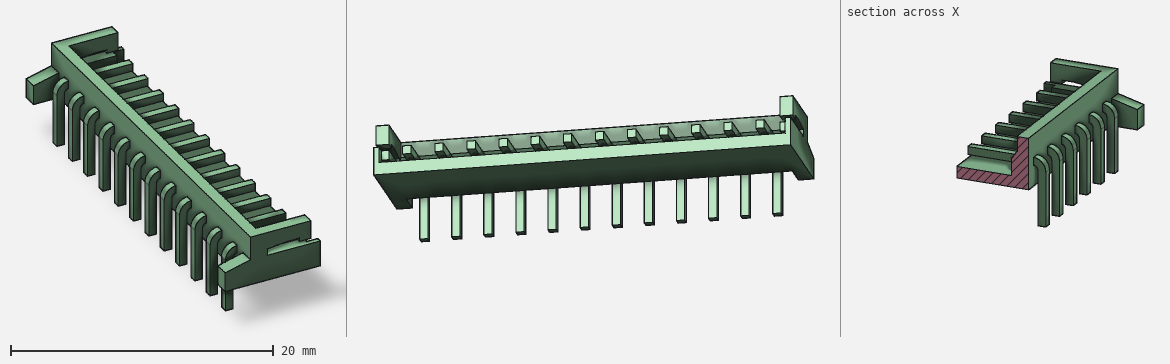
import cadquery as cq

length = 32.5
depth = 8.2
overall_height = 7.4
housing_height = 4.22
left_x = -length / 2
back_y = depth / 2
lug_tip_y = -depth / 2

wall_front_y = -1.92
wall_thickness = 0.98
wall_inner_y = wall_front_y + wall_thickness
arm_thickness = 1.0
arm_back_y = 3.28

floor_height = 0.98
cheek_height = 2.2
cheek_thickness = 0.42

slot_end_y = -0.45
slot_end_z = 2.75
slot_roof_flat_y = 1.27
slot_roof_z = 2.95
hook_front_y = 2.3
hook_bottom_z = 2.65

ledge_back_y = 3.2
ledge_bottom_z = 1.45

lug_width = 1.2
lug_tip_height = 1.65

pin_count = 12
pin_pitch = 2.5
pin_size = 0.65
pin_top_z = 2.35
pin_tip_z = housing_height - overall_height
pin_back_y = 3.6
pin_front_y = -2.92
bend_inner_radius = 0.4
bend_outer_radius = bend_inner_radius + pin_size

wall_foot_y = slot_end_y
slope_top_z = 3.02


def box(x_range, y_range, z_range):
    """Box spanning the given (low, high) ranges."""
    low, high = zip(x_range, y_range, z_range)
    size = [end - start for start, end in zip(low, high)]
    return cq.Workplane("XY").box(*size, centered=False).translate(low)


def side_profile(points, x_start, width):
    """Extrude a closed (y, z) outline along +X from x_start."""
    return cq.Workplane("YZ", origin=(x_start, 0, 0)).polyline(points).close().extrude(width)


def make_body():
    """Floor and upright wall with its sloped foot."""
    points = [
        (wall_front_y, 0),
        (back_y, 0),
        (back_y, floor_height),
        (wall_foot_y, floor_height),
        (wall_foot_y, pin_top_z),
        (wall_inner_y, slope_top_z),
        (wall_inner_y, housing_height),
        (wall_front_y, housing_height),
    ]
    return side_profile(points, left_x, length)


def make_cheek():
    """Thin end cheek with the wider ledge below the slot."""
    cheek = box((left_x, left_x + cheek_thickness), (wall_front_y, back_y), (0, cheek_height))
    ledge = box(
        (left_x, left_x + arm_thickness),
        (wall_front_y, ledge_back_y),
        (ledge_bottom_z, cheek_height),
    )
    return cheek.union(ledge)


def make_arm():
    """Hooked arm standing clear of the cheek by the slot."""
    points = [
        (wall_front_y, cheek_height),
        (slot_end_y, cheek_height),
        (slot_end_y, slot_end_z),
        (slot_roof_flat_y, slot_roof_z),
        (hook_front_y, slot_roof_z),
        (hook_front_y, hook_bottom_z),
        (arm_back_y, hook_bottom_z),
        (arm_back_y, housing_height),
        (wall_front_y, housing_height),
    ]
    return side_profile(points, left_x, arm_thickness)


def make_lug():
    """Front corner lug whose top slopes down to its tip."""
    points = [
        (wall_front_y, 0),
        (wall_front_y, cheek_height),
        (lug_tip_y, lug_tip_height),
        (lug_tip_y, 0),
    ]
    return side_profile(points, left_x, lug_width)


def make_pin(center_x):
    """Square pin running forward through the wall and bending down to its tip."""
    bend_y = pin_front_y + bend_outer_radius
    bend_z = pin_top_z - bend_outer_radius
    pin_rear_face_y = pin_front_y + pin_size
    pin_underside_z = pin_top_z - pin_size
    return (
        cq.Workplane("YZ", origin=(center_x - pin_size / 2, 0, 0))
        .moveTo(pin_back_y, pin_top_z)
        .lineTo(bend_y, pin_top_z)
        .radiusArc((pin_front_y, bend_z), -bend_outer_radius)
        .lineTo(pin_front_y, pin_tip_z)
        .lineTo(pin_rear_face_y, pin_tip_z)
        .lineTo(pin_rear_face_y, bend_z)
        .radiusArc((bend_y, pin_underside_z), bend_inner_radius)
        .lineTo(pin_back_y, pin_underside_z)
        .close()
        .extrude(pin_size)
    )


left_end = make_cheek().union(make_arm()).union(make_lug())
result = make_body().union(left_end).union(left_end.mirror("YZ"))
for index in range(pin_count):
    pin_x = (index - (pin_count - 1) / 2) * pin_pitch
    result = result.union(make_pin(pin_x))